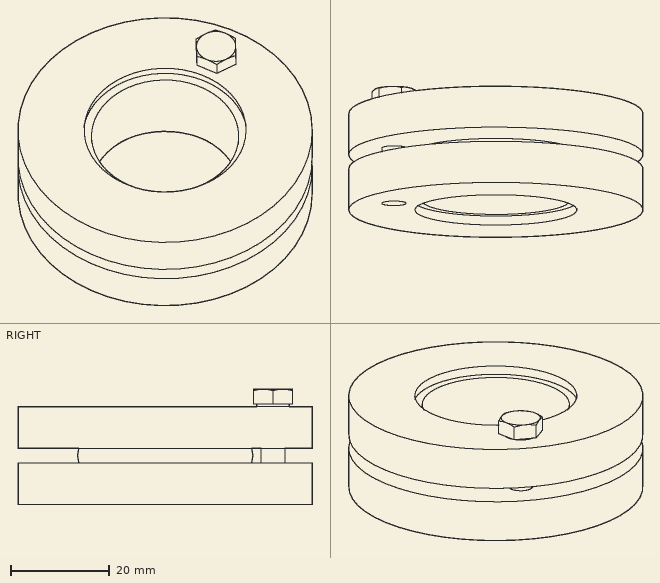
import cadquery as cq
import math

disc_diameter = 60.0
disc_thickness = 8.5
disc_gap = 2.95
stack_height = 2 * disc_thickness + disc_gap
mid_height = stack_height / 2

ring_bore_diameter = 30.0
taper_mid_diameter = 35.8
taper_end_diameter = 33.0
ring_recess = 1.9
ring_half_height = mid_height - ring_recess
taper_slope = (taper_mid_diameter - taper_end_diameter) / 2 / mid_height
ring_end_diameter = taper_mid_diameter - 2 * taper_slope * ring_half_height

bolt_offset = 21.95
shank_diameter = 5.0
washer_face_diameter = 6.7
washer_face_thickness = 0.5
overall_height = 23.5
head_height = overall_height - stack_height - washer_face_thickness
head_flats = 8.0
head_corners = head_flats / math.cos(math.radians(30))
head_corner_drop = 0.3


def double_cone():
    """Solid taper that fills the disc bores, symmetric about mid height."""
    return (
        cq.Workplane("XZ")
        .polyline([
            (0, 0),
            (taper_end_diameter / 2, 0),
            (taper_mid_diameter / 2, mid_height),
            (taper_end_diameter / 2, stack_height),
            (0, stack_height),
        ])
        .close()
        .revolve(360, (0, 0, 0), (0, 1, 0))
    )


def bolt_shank():
    """Bolt shank, from the bottom disc face to the top disc face."""
    return (
        cq.Workplane("XY")
        .center(0, bolt_offset)
        .circle(shank_diameter / 2)
        .extrude(stack_height)
    )


def clamping_disc(base_height):
    """Disc with a tapered bore and a close-fitting bolt hole."""
    blank = (
        cq.Workplane("XY")
        .workplane(offset=base_height)
        .circle(disc_diameter / 2)
        .extrude(disc_thickness)
    )
    return blank.cut(double_cone()).cut(bolt_shank())


def inner_ring():
    """Ring with a straight bore and two outer tapers meeting at mid height."""
    return (
        cq.Workplane("XZ")
        .polyline([
            (ring_bore_diameter / 2, ring_recess),
            (ring_end_diameter / 2, ring_recess),
            (taper_mid_diameter / 2, mid_height),
            (ring_end_diameter / 2, stack_height - ring_recess),
            (ring_bore_diameter / 2, stack_height - ring_recess),
        ])
        .close()
        .revolve(360, (0, 0, 0), (0, 1, 0))
    )


def bolt_head():
    """Hexagonal head whose top corners are trimmed by a cone."""
    head_base = stack_height + washer_face_thickness
    hexagon = (
        cq.Workplane("XY")
        .workplane(offset=head_base)
        .center(0, bolt_offset)
        .polygon(6, head_corners)
        .extrude(head_height)
    )
    crown = (
        cq.Workplane("XY")
        .workplane(offset=head_base)
        .center(0, bolt_offset)
        .circle(head_corners / 2)
        .extrude(head_height)
        .faces(">Z")
        .chamfer(head_corner_drop, (head_corners - head_flats) / 2)
    )
    return hexagon.intersect(crown)


def clamping_bolt():
    """Shank, washer face and head as one solid."""
    washer_face = (
        cq.Workplane("XY")
        .workplane(offset=stack_height)
        .center(0, bolt_offset)
        .circle(washer_face_diameter / 2)
        .extrude(washer_face_thickness)
    )
    return bolt_shank().union(washer_face).union(bolt_head())


disc_base_heights = [0, disc_thickness + disc_gap]
discs = [clamping_disc(base_height).solids().val() for base_height in disc_base_heights]
ring = inner_ring()
bolt = clamping_bolt()

result = cq.Compound.makeCompound([*discs, ring.solids().val(), bolt.solids().val()])